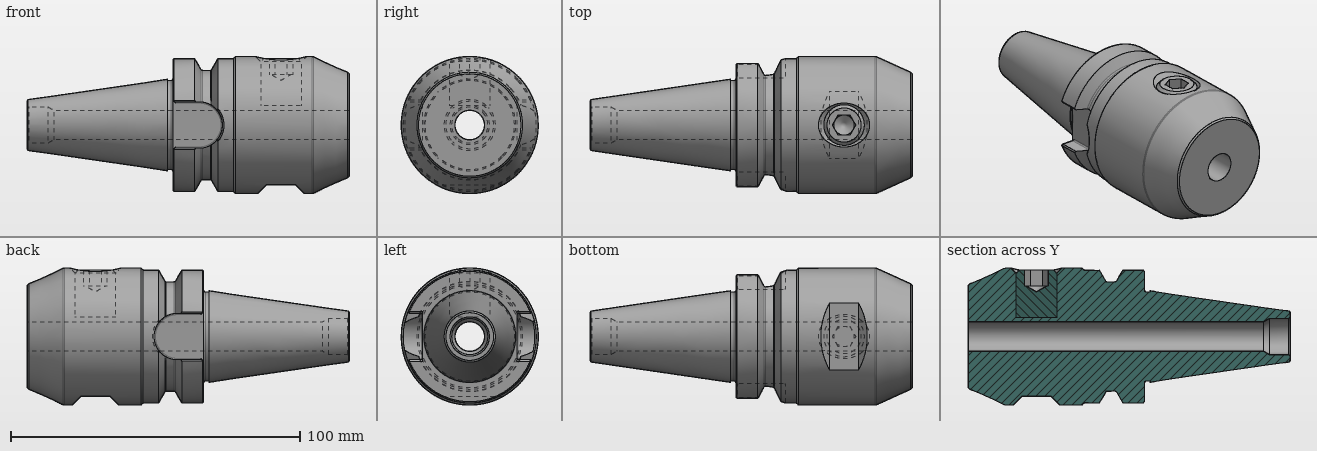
import cadquery as cq
import math

LENGTH = 111.4
TAPER_END = 48.5
FLANGE_START = 50.4
GROOVE_START = 57.9
GROOVE_END = 66.0
SHOULDER_START = 71.3
NOSE_START = 98.8

SHANK_FACE_DIAMETER = 16.5
SHANK_TIP_DIAMETER = 17.7
SHANK_TIP_CHAMFER = 0.3
GAUGE_DIAMETER = 31.7
RELIEF_DIAMETER = 30.9
RELIEF_FILLET = 0.6

FLANGE_DIAMETER = 46.0
FLANGE_CHAMFER = 0.5
GROOVE_DIAMETER = 37.9
GROOVE_WALL_ANGLE = 30.0
GROOVE_FILLET_FRONT = 0.7
GROOVE_FILLET_REAR = 0.2

BODY_DIAMETER = 47.5
NOSE_DIAMETER = 36.5
NOSE_CHAMFER = 0.6
NOSE_EDGE_FILLET = 1.1

BORE_DIAMETER = 10.1
COUNTERBORE_DIAMETER = 12.5
COUNTERBORE_MOUTH_CHAMFER = 0.6
COUNTERBORE_DEPTH = 7.2
DRILL_POINT_HALF_ANGLE = 30.0

KEYWAY_WIDTH = 16.0
KEYWAY_FLOOR = 16.3
KEYWAY_ARC_CENTER = 59.5
KEYWAY_FLOOR_FILLET = 0.5
KEYWAY_EDGE_CHAMFER = 0.6

SCREW_X = 87.8
SCREW_DIAMETER = 14.0
SCREW_FACE_DIAMETER = 11.8
SCREW_TOP = 23.1
SCREW_BOTTOM = 6.7
HEX_ACROSS_FLATS = 7.0
HEX_DEPTH = 5.6
HEX_TURN = 30.0
HEX_POINT_HALF_ANGLE = 60.0
SINK_DIAMETER = 17.7

EDGE_TOLERANCE = 0.01
MARGIN = 0.1

NOTCH_FLOOR_WIDTH = 10.0
NOTCH_DEPTH = 3.0


def outer_shell():
    """Turned outside of the holder as a solid of revolution about X."""
    flange_radius = FLANGE_DIAMETER / 2
    groove_radius = GROOVE_DIAMETER / 2
    relief_radius = RELIEF_DIAMETER / 2
    body_radius = BODY_DIAMETER / 2
    nose_radius = NOSE_DIAMETER / 2
    groove_slope = (flange_radius - groove_radius) * math.tan(math.radians(GROOVE_WALL_ANGLE))
    step = body_radius - flange_radius
    profile = [
        (0, 0),
        (0, SHANK_FACE_DIAMETER / 2),
        (SHANK_TIP_CHAMFER, SHANK_TIP_DIAMETER / 2),
        (TAPER_END, GAUGE_DIAMETER / 2),
        (TAPER_END, relief_radius),
        (FLANGE_START, relief_radius),
        (FLANGE_START, flange_radius - FLANGE_CHAMFER),
        (FLANGE_START + FLANGE_CHAMFER, flange_radius),
        (GROOVE_START, flange_radius),
        (GROOVE_START + groove_slope, groove_radius),
        (GROOVE_END - groove_slope, groove_radius),
        (GROOVE_END, flange_radius),
        (SHOULDER_START, flange_radius),
        (SHOULDER_START + step, body_radius),
        (NOSE_START, body_radius),
        (LENGTH - NOSE_CHAMFER, nose_radius),
        (LENGTH, nose_radius - NOSE_CHAMFER),
        (LENGTH, 0),
    ]
    shell = cq.Workplane("XY").polyline(profile).close().revolve(360, (0, 0, 0), (1, 0, 0))
    for x, radius, fillet in (
        (FLANGE_START, relief_radius, RELIEF_FILLET),
        (GROOVE_START + groove_slope, groove_radius, GROOVE_FILLET_FRONT),
        (GROOVE_END - groove_slope, groove_radius, GROOVE_FILLET_REAR),
        (NOSE_START, body_radius, NOSE_EDGE_FILLET),
    ):
        shell = shell.edges(circle_at(x, radius)).fillet(fillet)
    return shell


def circle_at(x, radius):
    """Selector for the circular edge about X with this station and radius."""
    return cq.selectors.BoxSelector(
        (x - EDGE_TOLERANCE, -radius - EDGE_TOLERANCE, -radius - EDGE_TOLERANCE),
        (x + EDGE_TOLERANCE, radius + EDGE_TOLERANCE, radius + EDGE_TOLERANCE),
        boundingbox=True,
    )


def axial_bore():
    """Through bore with a chamfered counterbore that ends in a drill-point cone."""
    bore_radius = BORE_DIAMETER / 2
    counterbore_radius = COUNTERBORE_DIAMETER / 2
    cone_length = (counterbore_radius - bore_radius) / math.tan(math.radians(DRILL_POINT_HALF_ANGLE))
    profile = [
        (0, 0),
        (0, counterbore_radius + COUNTERBORE_MOUTH_CHAMFER),
        (COUNTERBORE_MOUTH_CHAMFER, counterbore_radius),
        (COUNTERBORE_DEPTH, counterbore_radius),
        (COUNTERBORE_DEPTH + cone_length, bore_radius),
        (LENGTH, bore_radius),
        (LENGTH, 0),
    ]
    return cq.Workplane("XY").polyline(profile).close().revolve(360, (0, 0, 0), (1, 0, 0))


def keyway_cutter(side):
    """Round-ended keyway on the +Y (side = 1) or -Y (side = -1) flank, open toward the shank."""
    half_width = KEYWAY_WIDTH / 2
    return (
        cq.Workplane("XZ", origin=(0, side * KEYWAY_FLOOR, 0))
        .moveTo(TAPER_END, -half_width)
        .lineTo(KEYWAY_ARC_CENTER, -half_width)
        .threePointArc((KEYWAY_ARC_CENTER + half_width, 0), (KEYWAY_ARC_CENTER, half_width))
        .lineTo(TAPER_END, half_width)
        .close()
        .extrude(-side * BODY_DIAMETER / 2)
    )


def keyway_rim(side):
    """Selector for the outer rim of one keyway: flange corners and the crown of the round end."""
    half_width = KEYWAY_WIDTH / 2
    wall_foot = KEYWAY_FLOOR + KEYWAY_FLOOR_FILLET
    rim_top = BODY_DIAMETER / 2
    rim = cq.selectors.BoxSelector(
        (KEYWAY_ARC_CENTER, side * wall_foot, -MARGIN),
        (KEYWAY_ARC_CENTER + half_width + MARGIN, side * rim_top, MARGIN),
    )
    for wall in (half_width, -half_width):
        rim = rim + cq.selectors.BoxSelector(
            (FLANGE_START - MARGIN, side * wall_foot, wall - MARGIN),
            (GROOVE_START + MARGIN, side * rim_top, wall + MARGIN),
        )
    return rim


def keyway_floor_rim(side):
    """Selector for the corner between a keyway's floor and its wall."""
    half_width = KEYWAY_WIDTH / 2
    floor = side * KEYWAY_FLOOR
    return cq.selectors.BoxSelector(
        (FLANGE_START + MARGIN, floor - MARGIN, -half_width - MARGIN),
        (KEYWAY_ARC_CENTER + half_width + MARGIN, floor + MARGIN, half_width + MARGIN),
    )


def screw_hole():
    """Blind vertical hole for the clamping screw, countersunk at 45 degrees."""
    hole_radius = SCREW_DIAMETER / 2
    crown = BODY_DIAMETER / 2
    sink_radius = SINK_DIAMETER / 2
    profile = [
        (0, SCREW_BOTTOM),
        (hole_radius, SCREW_BOTTOM),
        (hole_radius, crown - (sink_radius - hole_radius)),
        (sink_radius, crown),
        (0, crown),
    ]
    hole = cq.Workplane("XZ").polyline(profile).close().revolve(360, (0, 0, 0), (0, 1, 0))
    return hole.translate((SCREW_X, 0, 0))


def balancing_notch():
    """Flat-bottomed notch with 45 degree sides, running across the underside in Y."""
    bottom = -BODY_DIAMETER / 2
    half_floor = NOTCH_FLOOR_WIDTH / 2
    half_mouth = half_floor + NOTCH_DEPTH
    return (
        cq.Workplane("XZ")
        .polyline([
            (SCREW_X - half_mouth, bottom),
            (SCREW_X - half_floor, bottom + NOTCH_DEPTH),
            (SCREW_X + half_floor, bottom + NOTCH_DEPTH),
            (SCREW_X + half_mouth, bottom),
        ])
        .close()
        .extrude(BODY_DIAMETER / 2, both=True)
    )


def tool_holder():
    """Holder body with keyways, bore, screw hole and balancing notch."""
    holder = outer_shell()
    for side in (1, -1):
        holder = holder.cut(keyway_cutter(side))
        holder = holder.edges(keyway_rim(side)).chamfer(KEYWAY_EDGE_CHAMFER)
        holder = holder.edges(keyway_floor_rim(side)).fillet(KEYWAY_FLOOR_FILLET)
    return holder.cut(axial_bore()).cut(screw_hole()).cut(balancing_notch())


def clamping_screw():
    """Headless screw with a chamfered top and a hexagon socket ending in a cone."""
    radius = SCREW_DIAMETER / 2
    chamfer = (SCREW_DIAMETER - SCREW_FACE_DIAMETER) / 2
    socket_radius = HEX_ACROSS_FLATS / 2
    hex_floor = SCREW_TOP - HEX_DEPTH
    point_length = socket_radius / math.tan(math.radians(HEX_POINT_HALF_ANGLE))
    body = (
        cq.Workplane("XY", origin=(SCREW_X, 0, SCREW_BOTTOM))
        .circle(radius)
        .extrude(SCREW_TOP - SCREW_BOTTOM)
        .faces(">Z")
        .chamfer(chamfer)
    )
    socket = (
        cq.Workplane("XY", origin=(SCREW_X, 0, hex_floor))
        .transformed(rotate=(0, 0, HEX_TURN))
        .polygon(6, HEX_ACROSS_FLATS, circumscribed=True)
        .extrude(HEX_DEPTH)
    )
    point = cq.Workplane(
        cq.Solid.makeCone(
            0, socket_radius, point_length,
            cq.Vector(SCREW_X, 0, hex_floor - point_length), cq.Vector(0, 0, 1),
        )
    )
    return body.cut(socket).cut(point)


holder = tool_holder()
screw = clamping_screw()
result = cq.Compound.makeCompound([holder.val(), screw.val()])